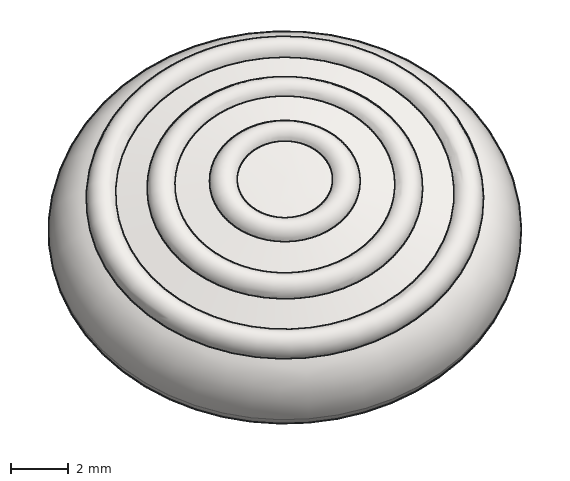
import cadquery as cq
import math

body_radius = 8.2
bottom_edge_radius = 0.54
bottom_edge_top = 0.6
shoulder_radius = 6.87
shoulder_height = 2.38
dome_height = 3.59

bead_tube_radius = 0.57
beads = [
    (2.1, 3.74),
    (4.23, 3.41),
    (6.31, 2.93),
]


def make_body():
    bottom_flat_radius = body_radius - bottom_edge_radius
    rise_above_widest = bottom_edge_top - bottom_edge_radius
    edge_top_radius = bottom_flat_radius + math.sqrt(bottom_edge_radius**2 - rise_above_widest**2)

    dome_rise = dome_height - shoulder_height
    dome_sphere_radius = (shoulder_radius**2 + dome_rise**2) / (2 * dome_rise)
    dome_mid_radius = shoulder_radius / 2
    dome_centre_height = dome_height - dome_sphere_radius
    dome_mid_height = dome_centre_height + math.sqrt(dome_sphere_radius**2 - dome_mid_radius**2)

    return (
        cq.Workplane("XZ")
        .lineTo(bottom_flat_radius, 0)
        .threePointArc((body_radius, bottom_edge_radius), (edge_top_radius, bottom_edge_top))
        .tangentArcPoint((shoulder_radius, shoulder_height), relative=False)
        .threePointArc((dome_mid_radius, dome_mid_height), (0, dome_height))
        .close()
        .revolve(360, (0, 0, 0), (0, 1, 0))
    )


def make_bead(centre_radius, crest_height):
    base_height = crest_height - bead_tube_radius
    return (
        cq.Workplane("XZ")
        .moveTo(centre_radius + bead_tube_radius, base_height)
        .threePointArc(
            (centre_radius, crest_height),
            (centre_radius - bead_tube_radius, base_height),
        )
        .close()
        .revolve(360, (0, 0, 0), (0, 1, 0))
    )


result = make_body()
for centre_radius, crest_height in beads:
    result = result.union(make_bead(centre_radius, crest_height))